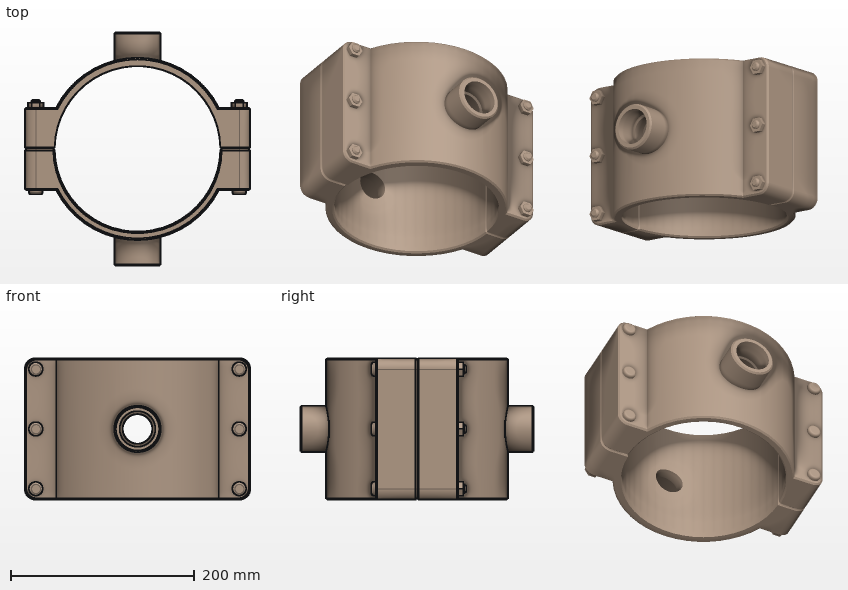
import cadquery as cq
import math

bore_radius = 90.0
ring_radius = 99.0
height = 154.0
lug_span = 245.0
lug_depth = 45.0
corner_radius = 12.0
edge_chamfer = 1.8

socket_diameter = 50.5
socket_seat = 95.5
socket_reach = 127.0
passage_diameter = 32.0
counterbore_diameter = 38.9
counterbore_floor = 102.4

head_diameter = 15.0
head_height = 4.5
head_fillet = 2.5
shank_diameter = 10.0
tip_length = 3.0
nut_flats = 15.0
nut_height = 5.3

nut_corners = nut_flats / math.cos(math.pi / 6)
nut_face = lug_depth + nut_height
tip_end = nut_face + tip_length
screw_offset_x = lug_span / 2 - corner_radius
screw_pitch = height / 2 - corner_radius
screw_places = [(side * screw_offset_x, row * screw_pitch) for side in (-1, 1) for row in (-1, 0, 1)]


def y_cylinder(diameter, start, end, x=0, z=0):
    """Cylinder along +Y from start to end, with end > start."""
    return cq.Workplane("XZ", origin=(x, start, z)).circle(diameter / 2).extrude(start - end)


def z_cylinder(radius):
    """Cylinder on the Z axis as tall as the clamp."""
    return cq.Workplane("XY").circle(radius).extrude(height / 2, both=True)


def outer_edges(half):
    """Edges around the lug backs and the rims of the ring, without the inside corners of ring and lug."""
    edges = []
    for edge in half.edges().vals():
        middle = edge.Center()
        on_lug_back = math.isclose(middle.y, lug_depth, abs_tol=0.003)
        is_inside_corner = abs(middle.x) < ring_radius and math.isclose(middle.z, 0, abs_tol=0.003)
        is_ring_rim = middle.y > lug_depth and not on_lug_back
        if (on_lug_back and not is_inside_corner) or is_ring_rim:
            edges.append(edge)
    return edges


def bore_rim_chamfer():
    """Cone that breaks the upper rim of the bore."""
    cone = cq.Solid.makeCone(bore_radius, bore_radius + edge_chamfer, edge_chamfer)
    return cq.Workplane("XY").add(cone.moved(cq.Location((0, 0, height / 2 - edge_chamfer))))


def clamp_half():
    """Half of the clamp on the +Y side, with its parting face on the XZ plane."""
    lugs = cq.Workplane("XY").box(lug_span, 2 * lug_depth, height)
    lugs = lugs.edges("|Y").fillet(corner_radius)
    positive_side = cq.Workplane("XY").box(lug_span, ring_radius, height)
    positive_side = positive_side.translate((0, ring_radius / 2, 0))
    half = z_cylinder(ring_radius).union(lugs).intersect(positive_side)
    half = half.newObject(outer_edges(half)).chamfer(edge_chamfer)
    half = half.cut(z_cylinder(bore_radius))
    return half.faces("<Y").chamfer(edge_chamfer)


def screw_head(x, z):
    head = y_cylinder(head_diameter, -lug_depth - head_height, -lug_depth, x, z)
    return head.faces("<Y").edges().fillet(head_fillet)


def nut_and_tip(x, z):
    nut = cq.Workplane("XZ", origin=(x, lug_depth, z)).polygon(6, nut_corners).extrude(-nut_height)
    tip = y_cylinder(shank_diameter, lug_depth, tip_end, x, z).faces(">Y").chamfer(edge_chamfer)
    return nut.union(tip)


def make_clamp():
    """Both halves joined at the root of their V groove, with the screw heads and nuts on the lugs."""
    rear_half = clamp_half()
    front_half = clamp_half().mirror("XZ")
    rim = bore_rim_chamfer()
    front_half = front_half.cut(rim).cut(rim.mirror("XY"))
    clamp = rear_half.union(front_half)
    for x, z in screw_places:
        clamp = clamp.union(screw_head(x, z)).union(nut_and_tip(x, z))
    passage = y_cylinder(passage_diameter, -socket_reach, socket_reach)
    seat = y_cylinder(socket_diameter, socket_seat, socket_reach)
    return clamp.cut(passage).cut(seat).cut(seat.mirror("XZ"))


def make_socket(turn):
    """Socket on the +Y side, turned about Z by the given degrees."""
    socket = y_cylinder(socket_diameter, socket_seat, socket_reach)
    socket = socket.faces(">Y").chamfer(edge_chamfer)
    socket = socket.cut(y_cylinder(passage_diameter, socket_seat, socket_reach))
    socket = socket.cut(y_cylinder(counterbore_diameter, counterbore_floor, socket_reach))
    return socket.rotate((0, 0, 0), (0, 0, 1), turn)


clamp = make_clamp()
sockets = [make_socket(turn).val() for turn in (0, 180)]

result = cq.Compound.makeCompound([clamp.val(), *sockets])